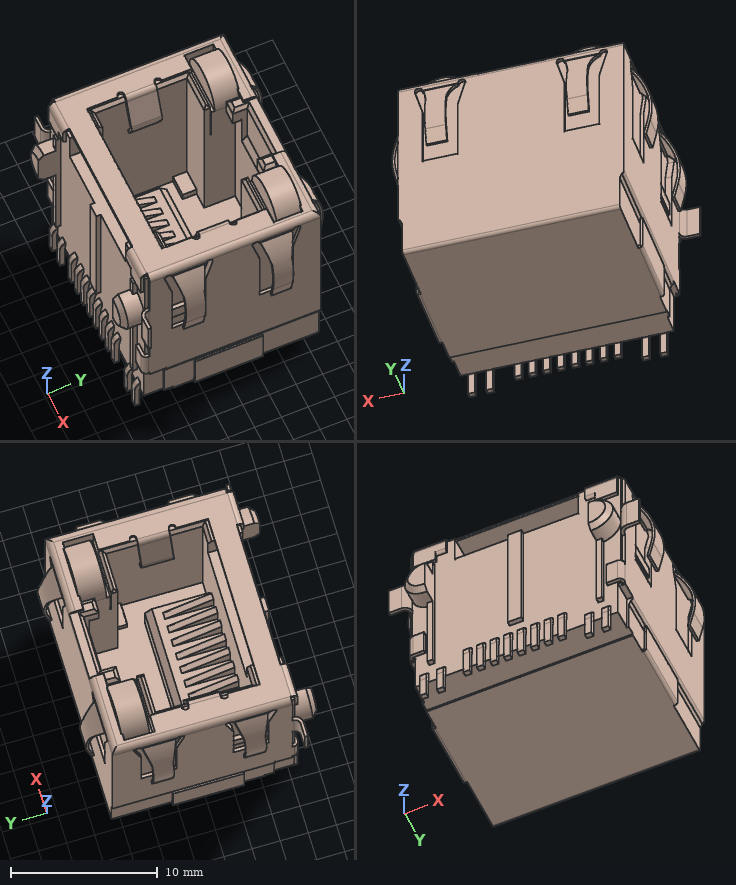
import cadquery as cq
import math


sheet = 0.25
shell_half_width = 8.07
shell_back = 13.07
shell_top = 15.57
bend_radius = 0.47
jog_top = 3.38
jog_lip = 0.05
jog_bottom = 2.69
jog_depth = 0.3
lower_wall_front = 1.47
bottom_plate_front = 2.12
bottom_corner_radius = 0.25

housing_half_width = shell_half_width - sheet
housing_back = shell_back - sheet
housing_top = shell_top - sheet
housing_bottom = 0.15
housing_foot_half_width = 7.61

mouth_half_width = 6.19
mouth_front = 2.01
cavity_half_width = 5.92
cavity_front = 2.48
cavity_back = 9.36
cavity_floor = 2.63
mouth_chamfer = mouth_half_width - cavity_half_width
window_half_width = 4.65
window_bottom = 13.03

latch_half_width = 3.08
latch_back = 11.7
keyway_half_width = 2.01
keyway_back = 12.1
keyway_bottom = 11.19
keyway_chamfer = 0.26
shell_notch_half_width = 2.4
nub_front = 11.02
nub_bottom = 13.85

led_x = 5.17
led_radius = 2.09
led_top = 16.55
led_axis_z = led_top - led_radius
led_front = 10.15
led_back = 12.09
led_base_z = 11.65
led_flange_front = 9.9
bay_half_width = 7.39
bay_front = 9.83
bay_back = 12.0

finger_root_z = 14.93
finger_crest_z = 11.28
finger_straight_z = 10.1
finger_tip_z = 8.85
finger_crest = 1.2
finger_radius = 5.45
finger_thickness = 0.19
finger_half_width = 0.73
finger_neck_half_width = 0.9
finger_root_half_width = 1.26
finger_neck_z = 13.69
finger_taper_z = 12.9
slot_half_width = 1.26
slot_flare_half_width = 1.8
slot_bottom = 8.15
slot_flare_z = 12.77
slot_lobe_z = 14.75
slot_lobe_radius = 0.26
side_finger_ys = (3.18, 9.74)
back_finger_xs = (-5.05, 5.05)
ledge_bottom = 9.25
ledge_top = 10.25
ledge_height = 0.1
recess_depth = 0.23

tongue_y = 5.95
tongue_width = 2.3
tongue_bend = 0.38
tongue_knee = (4.93, 12.78)
tongue_knee_radius = 0.75
tongue_tip = (5.35, 11.85)
relief_x = 6.25
relief_radius = 0.25
relief_offset = 1.4

post_x = 6.26
post_z = 10.25
post_radius = 1.56
post_flat_x = 6.15
post_length = 1.65
post_chamfer = 0.4
rib_height = 0.34
side_rib_width = 0.41
side_rib_bottom = 2.05
side_rib_top = 13.18
center_rib_width = 1.03
center_rib_bottom = 3.14
flap_outer_x = 7.63
flap_step_x = 6.0
flap_inner_x = 5.23
flap_bottom = 13.46
flap_lip_bottom = 14.1
lip_round = 0.23
clip_inner_x = 6.85
clip_bottom = 3.6
clip_height = 2.09
clip_round = 0.38
tail_reach = 9.4
tail_height = 2.52
tail_bend_end = 8.46
tail_front = -0.47
side_flap_front = 3.67
side_flap_back = 8.75
side_flap_thickness = 0.15
side_flap_top = 2.78

contact_count = 8
contact_pitch = 1.02
contact_xs = [(i - (contact_count - 1) / 2) * contact_pitch for i in range(contact_count)]
contact_width = 0.47
contact_back = 5.95
contact_rise = 1.32
block_half_width = 4.27
block_back = 6.58
block_top = 5.26
block_bevel = 0.5
pad_inner_x = 4.32
pad_front = 8.31
pad_height = 0.56
contact_pin_top = 2.07
contact_pin_bottom = -0.86
contact_pin_front = -0.47
contact_pin_back = -0.11
led_pin_xs = (-6.85, -5.56, 5.56, 6.85)
led_pin_width = 0.49
led_pin_top = 1.07
led_pin_bottom = -1.62
led_pin_front = -0.41
led_pin_back = -0.05
pin_embed = 0.19
contact_pin_bend = 0.85
led_pin_bend = 0.94


def box(x0, x1, y0, y1, z0, z1):
    """Axis-aligned block between the given limits."""
    return cq.Workplane("XY").box(x1 - x0, y1 - y0, z1 - z0, centered=False).translate((x0, y0, z0))


def wide_box(half_width, y0, y1, z0, z1):
    """Block centred on x = 0."""
    return box(-half_width, half_width, y0, y1, z0, z1)


def both_sides(solid):
    """The solid together with its mirror image across x = 0."""
    return solid.union(solid.mirror("YZ"))


def shell_slab():
    """Outer envelope of the shell, mitred at the back corners and jogged in low on the sides."""
    block = wide_box(shell_half_width, sheet, shell_back, jog_top, shell_top)
    side_bends = block.edges(">Z and |Y").fillet(bend_radius)
    back_bend = block.edges(">Z and >Y").fillet(bend_radius)
    upper = side_bends.intersect(back_bend)
    foot = shell_half_width - jog_depth
    lower = both_sides(
        cq.Workplane("XZ", origin=(0, lower_wall_front, 0))
        .moveTo(0, 0)
        .lineTo(0, jog_top)
        .lineTo(shell_half_width, jog_top)
        .lineTo(shell_half_width, jog_top - jog_lip)
        .tangentArcPoint(((shell_half_width + foot) / 2, (jog_top + jog_bottom) / 2), relative=False)
        .lineTo(foot, jog_bottom)
        .lineTo(foot, 0)
        .close()
        .extrude(lower_wall_front - shell_back)
    )
    lower = lower.cut(wide_box(foot, lower_wall_front, bottom_plate_front, 0, housing_bottom))
    lower = lower.faces(">Y").edges("<Z").fillet(bottom_corner_radius)
    return upper.union(lower)


def housing_block():
    """Plastic core that fills the shell and shows at the front."""
    upper = wide_box(housing_half_width, 0, housing_back, jog_top, housing_top)
    foot = wide_box(housing_foot_half_width, 0, housing_back, housing_bottom, jog_top)
    return upper.union(foot)


def shell_mouth():
    """Cutter for the opening in the shell's top plate and its back notch."""
    plug = wide_box(mouth_half_width, mouth_front, bay_front, housing_top, shell_top)
    bays = wide_box(bay_half_width, bay_front, bay_back, housing_top, shell_top)
    notch = wide_box(shell_notch_half_width, bay_back, shell_back, housing_top, shell_top)
    relief = (
        cq.Workplane("XY", origin=(0, 0, housing_top))
        .pushPoints([(relief_x, tongue_y - relief_offset), (relief_x, tongue_y + relief_offset)])
        .circle(relief_radius)
        .extrude(sheet)
    )
    return plug.union(bays).union(notch).union(both_sides(relief))


def cavity():
    """Cutter for the plug cavity, light bays, latch recess and front window."""
    plug = wide_box(cavity_half_width, cavity_front, cavity_back, cavity_floor, housing_top)
    lead_in = (
        cq.Workplane("XY", origin=(0, (cavity_front + cavity_back) / 2, housing_top))
        .rect(2 * mouth_half_width, cavity_back - cavity_front + 2 * mouth_chamfer)
        .workplane(offset=-mouth_chamfer)
        .rect(2 * cavity_half_width, cavity_back - cavity_front)
        .loft()
    )
    window = wide_box(window_half_width, 0, cavity_front, window_bottom, housing_top)
    latch = wide_box(latch_half_width, cavity_back, latch_back, cavity_floor, housing_top)
    keyway = (
        cq.Workplane("YZ", origin=(-keyway_half_width, 0, 0))
        .polyline([
            (latch_back, keyway_bottom),
            (keyway_back, keyway_bottom + keyway_back - latch_back),
            (keyway_back, housing_top),
            (latch_back, housing_top),
        ])
        .close()
        .extrude(2 * keyway_half_width)
    )
    keyway_mouth = (
        cq.Workplane("XY", origin=(0, nub_front, housing_top))
        .rect(2 * (keyway_half_width + keyway_chamfer), 2 * (keyway_back + keyway_chamfer - nub_front))
        .workplane(offset=-keyway_chamfer)
        .rect(2 * keyway_half_width, 2 * (keyway_back - nub_front))
        .loft()
    )
    nub_space = wide_box(latch_half_width, nub_front, bay_back, nub_bottom, housing_top)
    bay = box(latch_half_width, bay_half_width, bay_front, bay_back, led_base_z, housing_top)
    wall_slope = (
        cq.Workplane("YZ", origin=(latch_half_width, 0, 0))
        .polyline([
            (bay_front, housing_top - mouth_chamfer),
            (bay_front - mouth_chamfer, housing_top),
            (bay_front, housing_top),
        ])
        .close()
        .extrude(mouth_half_width - latch_half_width)
    )
    wall_end = (
        cq.Workplane("XZ", origin=(0, bay_front, 0))
        .polyline([
            (latch_half_width, housing_top - mouth_chamfer),
            (latch_half_width + mouth_chamfer, housing_top),
            (latch_half_width, housing_top),
        ])
        .close()
        .extrude(bay_front - cavity_back)
    )
    cutter = plug.union(lead_in).union(window).union(latch).union(keyway).union(keyway_mouth)
    return cutter.union(nub_space).union(both_sides(bay.union(wall_slope).union(wall_end)))


def latch_nub():
    """Chamfered stop beside the keyway."""
    nub = box(keyway_half_width, latch_half_width, nub_front, bay_back, nub_bottom, housing_top)
    return nub.edges(">Z and (<Y or <X or >X)").chamfer(keyway_chamfer)


def indicator_light():
    """Round-topped light with a low flange in front."""
    dome = (
        cq.Workplane("XZ", origin=(led_x, led_front, led_axis_z))
        .circle(led_radius)
        .extrude(led_front - led_back)
    )
    left = led_x - led_radius
    right = led_x + led_radius
    stem = box(left, right, led_front, led_back, led_base_z, led_axis_z)
    flange = box(left, right, led_flange_front, led_front, led_base_z, led_axis_z)
    return dome.union(stem).union(flange)


def finger_slot(depth):
    """Cutter for the flared slot round a finger; outward is +Y, the shell face is y = 0."""
    slot = (
        cq.Workplane("XZ")
        .polyline([
            (-slot_half_width, slot_bottom), (slot_half_width, slot_bottom),
            (slot_half_width, slot_flare_z), (slot_flare_half_width, slot_lobe_z),
            (-slot_flare_half_width, slot_lobe_z), (-slot_half_width, slot_flare_z),
        ])
        .close()
        .extrude(depth)
    )
    lobe_x = slot_flare_half_width - slot_lobe_radius
    lobes = (
        cq.Workplane("XZ")
        .pushPoints([(-lobe_x, slot_lobe_z), (lobe_x, slot_lobe_z)])
        .circle(slot_lobe_radius)
        .extrude(depth)
    )
    return slot.union(lobes)


def spring_finger():
    """Bowed finger with a flared root; outward is +Y, the shell face is y = 0."""
    axis_y = finger_crest - finger_radius
    inner_radius = finger_radius - finger_thickness

    def on_arc(radius, z):
        return axis_y + math.sqrt(radius ** 2 - (z - finger_crest_z) ** 2), z

    lean = math.asin((finger_crest_z - finger_straight_z) / finger_radius)
    tip_length = (finger_straight_z - finger_tip_z) / math.cos(lean)
    tip_step = (-tip_length * math.sin(lean), -tip_length * math.cos(lean))
    outer_end = on_arc(finger_radius, finger_straight_z)
    inner_end = (
        outer_end[0] - finger_thickness * math.cos(lean),
        outer_end[1] + finger_thickness * math.sin(lean),
    )
    bow = (
        cq.Workplane("YZ", origin=(-finger_root_half_width, 0, 0))
        .moveTo(*on_arc(finger_radius, finger_root_z))
        .threePointArc(on_arc(finger_radius, finger_crest_z), outer_end)
        .line(*tip_step)
        .lineTo(inner_end[0] + tip_step[0], inner_end[1] + tip_step[1])
        .lineTo(*inner_end)
        .threePointArc(on_arc(inner_radius, finger_crest_z), on_arc(inner_radius, finger_root_z))
        .close()
        .extrude(2 * finger_root_half_width)
    )
    half_outline = [
        (finger_half_width, finger_tip_z - finger_thickness), (finger_half_width, finger_taper_z),
        (finger_neck_half_width, finger_neck_z), (finger_root_half_width, finger_root_z),
    ]
    outline = half_outline + [(-x, z) for x, z in reversed(half_outline)]
    face = cq.Workplane("XZ", origin=(0, 2 * finger_crest, 0)).polyline(outline).close()
    return bow.intersect(face.extrude(4 * finger_crest))


def on_side_walls(solid, y):
    """Copies of a finger-frame solid on both side walls, centred at the given y."""
    return both_sides(solid.rotate((0, 0, 0), (0, 0, 1), -90).translate((shell_half_width, y, 0)))


def on_back_wall(solid, x):
    """Copy of a finger-frame solid on the back wall, centred at the given x."""
    return solid.translate((x, shell_back, 0))


def ledge_recess():
    """Cutter for the housing recess behind a front side slot, above the ledge."""
    recess = finger_slot(sheet + recess_depth)
    return recess.cut(wide_box(slot_flare_half_width, -shell_back, 0, slot_bottom, ledge_top))


def side_ledge():
    """Ledge standing proud of the housing inside a front side slot."""
    return wide_box(slot_half_width, -sheet - ledge_height, ledge_height - sheet, ledge_bottom, ledge_top)


def cavity_tongue():
    """Contact tongue folded from the top plate down into the cavity."""
    bend_end = (mouth_half_width - tongue_bend, shell_top - tongue_bend)
    half_arc = tongue_bend * math.sqrt(0.5)
    bend_mid = (mouth_half_width - half_arc, bend_end[1] + half_arc)
    return (
        cq.Workplane("XZ", origin=(0, tongue_y + tongue_width / 2, 0))
        .moveTo(mouth_half_width, shell_top)
        .threePointArc(bend_mid, bend_end)
        .lineTo(*tongue_knee)
        .lineTo(*tongue_tip)
        .lineTo(tongue_tip[0] + sheet, tongue_tip[1])
        .lineTo(tongue_knee[0] + sheet, tongue_knee[1])
        .lineTo(bend_end[0] + sheet, bend_end[1] - sheet)
        .lineTo(mouth_half_width, housing_top - sheet)
        .close()
        .extrude(tongue_width)
        .edges("<X")
        .fillet(tongue_knee_radius)
    )


def front_flap():
    """Stepped flap bent down from the top plate over the housing front."""
    outer = box(flap_step_x, flap_outer_x, -sheet, sheet, flap_bottom, shell_top)
    lip = box(flap_inner_x, flap_step_x, -sheet, sheet, flap_lip_bottom, shell_top)
    lip = lip.edges("<Y and <Z").fillet(lip_round)
    return outer.union(lip).edges("<Y and >Z").fillet(bend_radius)


def side_clip():
    """Low clip wrapping from the side wall onto the housing front."""
    clip = box(clip_inner_x, shell_half_width, -sheet, sheet, clip_bottom, clip_bottom + clip_height)
    return clip.edges("<Y and >X").fillet(clip_round)


def board_tail():
    """Tail bent outward from the front edge of the side wall."""
    outer_radius = tail_bend_end - housing_half_width
    inner_radius = outer_radius - sheet
    axis_y = tail_front + outer_radius
    diagonal = math.sqrt(0.5)
    return (
        cq.Workplane("XY", origin=(0, 0, post_z - tail_height / 2))
        .moveTo(housing_half_width, sheet)
        .lineTo(housing_half_width, axis_y)
        .threePointArc(
            (tail_bend_end - outer_radius * diagonal, axis_y - outer_radius * diagonal),
            (tail_bend_end, tail_front),
        )
        .lineTo(tail_reach, tail_front)
        .lineTo(tail_reach, tail_front + sheet)
        .lineTo(tail_bend_end, tail_front + sheet)
        .threePointArc(
            (tail_bend_end - inner_radius * diagonal, axis_y - inner_radius * diagonal),
            (shell_half_width, axis_y),
        )
        .lineTo(shell_half_width, sheet)
        .close()
        .extrude(tail_height)
    )


def side_flap():
    """Flap folded up from the bottom plate outside the jogged wall."""
    base = box(housing_foot_half_width, shell_half_width, side_flap_front, side_flap_back, 0, sheet)
    wall = box(shell_half_width - side_flap_thickness, shell_half_width,
               side_flap_front, side_flap_back, 0, side_flap_top)
    return base.union(wall).edges("<Z and >X").fillet(bottom_corner_radius)


def mounting_post():
    """Chamfered locating post, flattened on its inner side."""
    post = (
        cq.Workplane("XZ", origin=(post_x, 0, post_z))
        .circle(post_radius)
        .extrude(post_length)
        .faces("<Y")
        .chamfer(post_chamfer)
    )
    keep = box(post_flat_x, shell_half_width, -post_length, 0, post_z - post_radius, post_z + post_radius)
    return post.intersect(keep)


def front_ribs():
    """Side ribs and the centre rib on the housing front."""
    side = box(post_flat_x, post_flat_x + side_rib_width, -rib_height, 0, side_rib_bottom, side_rib_top)
    center = wide_box(center_rib_width / 2, -rib_height, 0, center_rib_bottom, window_bottom)
    return both_sides(side).union(center)


def bent_pin(x, width, front, back, top, bottom, bend_height):
    """Pin leaving the housing front and curving down."""
    shoulder = top - bend_height
    thickness = back - front
    inner_top = top - thickness
    return (
        cq.Workplane("YZ", origin=(x - width / 2, 0, 0))
        .moveTo(pin_embed, top)
        .lineTo(0, top)
        .threePointArc((front * math.sqrt(0.5), shoulder + bend_height * math.sqrt(0.5)), (front, shoulder))
        .lineTo(front, bottom)
        .lineTo(back, bottom)
        .lineTo(back, shoulder)
        .lineTo(0, inner_top)
        .lineTo(pin_embed, inner_top)
        .close()
        .extrude(width)
    )


def contact_block():
    """Raised block on the cavity floor carrying the sloping contacts, with corner pads behind."""
    block = (
        cq.Workplane("YZ", origin=(-block_half_width, 0, 0))
        .polyline([
            (cavity_front, cavity_floor), (cavity_front, block_top), (block_back, block_top),
            (block_back + block_bevel, block_top - block_bevel),
            (block_back + block_bevel, cavity_floor),
        ])
        .close()
        .extrude(2 * block_half_width)
    )
    contact = (
        cq.Workplane("YZ", origin=(-contact_width / 2, 0, 0))
        .polyline([
            (cavity_front, block_top), (cavity_front, block_top + contact_rise), (contact_back, block_top),
        ])
        .close()
        .extrude(contact_width)
    )
    for x in contact_xs:
        block = block.union(contact.translate((x, 0, 0)))
    pad = box(pad_inner_x, cavity_half_width, pad_front, cavity_back, cavity_floor, cavity_floor + pad_height)
    return block.union(both_sides(pad))


body = shell_slab().union(housing_block()).cut(shell_mouth()).cut(cavity())

for y in side_finger_ys:
    body = body.cut(on_side_walls(finger_slot(sheet), y))
for x in back_finger_xs:
    body = body.cut(on_back_wall(finger_slot(sheet), x))
front_finger_y = side_finger_ys[0]
body = body.cut(on_side_walls(ledge_recess(), front_finger_y))
body = body.union(on_side_walls(side_ledge(), front_finger_y))
for y in side_finger_ys:
    body = body.union(on_side_walls(spring_finger(), y))
for x in back_finger_xs:
    body = body.union(on_back_wall(spring_finger(), x))

for feature in (
    latch_nub(), indicator_light(), cavity_tongue(), front_flap(), side_clip(),
    board_tail(), side_flap(), mounting_post(),
):
    body = body.union(both_sides(feature))

body = body.union(front_ribs()).union(contact_block())

for x in contact_xs:
    body = body.union(bent_pin(
        x, contact_width, contact_pin_front, contact_pin_back, contact_pin_top, contact_pin_bottom,
        contact_pin_bend))
for x in led_pin_xs:
    body = body.union(bent_pin(
        x, led_pin_width, led_pin_front, led_pin_back, led_pin_top, led_pin_bottom, led_pin_bend))

result = body